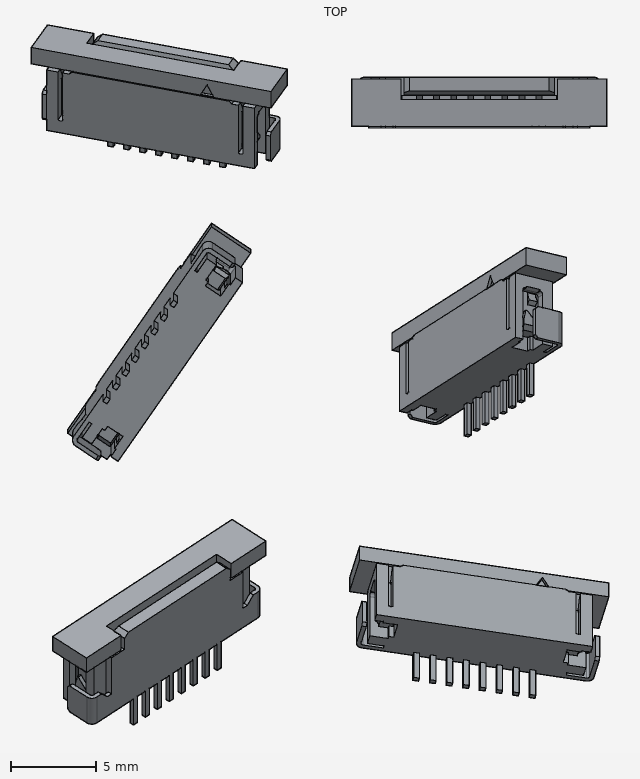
import cadquery as cq


BODY_HALF = 6.5
BODY_DEPTH = 3.0
SHOULDER_Z = 4.12
RIDGE_Z = 4.28
RIDGE_TOP_HALF = 4.92
RIDGE_BEVEL = RIDGE_Z - SHOULDER_Z
REAR_HALF = 5.5
TAB_RECESS_DEPTH = 0.45

SLIDER_HALF = 7.5
SLIDER_BACK = 0.1
SLIDER_FRONT = 2.9
TOP_Z = 5.4
NOTCH_HALF = 4.6
NOTCH_DEPTH = 1.31

TONGUE_HALF = 4.42
TONGUE_DEPTH = 1.04
TONGUE_SIDE_BEVEL = 0.33
TONGUE_FRONT_BEVEL = 0.23
TONGUE_SIDE_BEVEL_HEIGHT = 0.28
TONGUE_FRONT_BEVEL_HEIGHT = 0.65
CABLE_SLOT_HALF = 4.53
CABLE_SLOT_BACK = 1.08
CABLE_SLOT_FLOOR = 1.0

PIN_COUNT = 8
PIN_PITCH = 1.0
PIN_WIDTH = 0.35
PIN_THICKNESS = 0.28
PIN_LENGTH = 2.0
CONTACT_TIP_Z = 3.0
CONTACT_TIP_DROP = 0.28
PIN_ONE_X = PIN_PITCH * (PIN_COUNT - 1) / 2

MARK_HALF = 0.4
MARK_BASE_Z = 4.33
MARK_TIP_Z = 5.05
MARK_DEPTH = 0.2

WINDOW_BACK = 1.13
WINDOW_FRONT = 2.49
WINDOW_TOP = 3.34
WINDOW_RADIUS = 0.2
POCKET_FRONT = 2.39
POCKET_INNER_X = 5.1
POCKET_STEP_X = 5.4
POCKET_STEP_DEPTH = 1.31
RELIEF_HEIGHT = 0.09
RELIEF_LENGTH = 0.3

ARM_INNER_X = 5.16
ARM_OUTER_X = 5.98
ARM_FRONT = 2.24
ARM_TIP_Z = 0.85
ARM_TIP_CHAMFER_DEPTH = 0.12
ARM_TIP_CHAMFER_HEIGHT = 0.2
ARM_TIP_TAPER_Z = 1.14
ARM_TIP_TAPER_X = 0.25
ARM_ROOT_Z = 3.43
ARM_ROOT_FRONT = 2.72

CATCH_BACK = 1.31
CATCH_FRONT = 1.87
CATCH_BOTTOM_Z = 2.53
CATCH_CREST_Z = 2.77
CATCH_TOP_Z = 3.3
CATCH_HEIGHT = 0.2
PAD_BACK = 1.31
PAD_CREST_BACK = 2.03
PAD_CREST_FRONT = 2.12
PAD_TOP_Z = 2.03
PAD_SHOULDER_Z = 1.5
PAD_HEIGHT = 0.25

ARM_SLOT_INNER_X = 5.5
ARM_SLOT_WIDTH = 0.28
ARM_SLOT_BOTTOM = 0.82
ARM_SLOT_SAG = 0.06

TAB_OUTER_X = 7.14
TAB_THICKNESS = 0.27
TAB_INNER_RADIUS = 0.14
TAB_OUTER_RADIUS = TAB_THICKNESS + TAB_INNER_RADIUS
TAB_HEIGHT = 2.0
TAB_LEG_DEPTH = 2.03
TAB_LEG_CHAMFER = 0.18
TAB_RAMP_OUTER_X = 6.35
TAB_RAMP_INNER_X = 5.85
TAB_RAMP_DROP = 0.5


def block(x_range, depth_range, z_range):
    """Rectangular block between two x, two depth and two z values."""
    (x0, x1), (d0, d1), (z0, z1) = x_range, depth_range, z_range
    return cq.Workplane("XY").box(x1 - x0, d1 - d0, z1 - z0, centered=False).translate((x0, -d1, z0))


def side_prism(depth_z_points, x_start, x_end):
    """Prism along X whose section is given as (depth, z) points."""
    section = [(-depth, z) for depth, z in depth_z_points]
    return cq.Workplane("YZ").workplane(offset=x_start).polyline(section).close().extrude(x_end - x_start)


def front_prism(x_z_points, depth_start, depth_end):
    """Prism along the depth whose section is given as (x, z) points."""
    plane = cq.Workplane("XZ").workplane(offset=depth_start)
    return plane.polyline(x_z_points).close().extrude(depth_end - depth_start)


def both_sides(right_half):
    """The given +X shape together with its mirror image."""
    return right_half.union(right_half.mirror("YZ"))


def make_ridge():
    foot_half = RIDGE_TOP_HALF + RIDGE_BEVEL
    section = [
        (-foot_half, SHOULDER_Z),
        (foot_half, SHOULDER_Z),
        (RIDGE_TOP_HALF, RIDGE_Z),
        (-RIDGE_TOP_HALF, RIDGE_Z),
    ]
    return front_prism(section, 0, BODY_DEPTH)


def make_tongue():
    side_bevel_z = TOP_Z - TONGUE_SIDE_BEVEL_HEIGHT
    front_bevel_z = TOP_Z - TONGUE_FRONT_BEVEL_HEIGHT
    top_half = TONGUE_HALF - TONGUE_SIDE_BEVEL
    side_section = [
        (-TONGUE_HALF, SHOULDER_Z),
        (TONGUE_HALF, SHOULDER_Z),
        (TONGUE_HALF, side_bevel_z),
        (top_half, TOP_Z),
        (-top_half, TOP_Z),
        (-TONGUE_HALF, side_bevel_z),
    ]
    front_section = [
        (0, SHOULDER_Z),
        (TONGUE_DEPTH, SHOULDER_Z),
        (TONGUE_DEPTH, front_bevel_z),
        (TONGUE_DEPTH - TONGUE_FRONT_BEVEL, TOP_Z),
        (0, TOP_Z),
    ]
    tongue = front_prism(side_section, 0, TONGUE_DEPTH)
    return tongue.intersect(side_prism(front_section, -TONGUE_HALF, TONGUE_HALF))


def make_window():
    """Side opening with its inner pocket and the lead-in above it."""
    opening = block((ARM_OUTER_X, BODY_HALF), (WINDOW_BACK, WINDOW_FRONT), (-WINDOW_RADIUS, WINDOW_TOP))
    opening = opening.edges("|X and >Z").fillet(WINDOW_RADIUS)
    pocket = block((POCKET_STEP_X, ARM_OUTER_X), (WINDOW_BACK, POCKET_FRONT), (0, WINDOW_TOP))
    pocket = pocket.union(
        block((POCKET_INNER_X, POCKET_STEP_X), (POCKET_STEP_DEPTH, POCKET_FRONT), (0, WINDOW_TOP))
    )
    relief_section = [
        (BODY_HALF, WINDOW_TOP),
        (BODY_HALF, WINDOW_TOP + RELIEF_HEIGHT),
        (BODY_HALF - RELIEF_LENGTH, WINDOW_TOP),
    ]
    relief = front_prism(relief_section, CATCH_BACK, ARM_FRONT)
    return opening.union(pocket).union(relief)


def make_arm_slot():
    """Upright slot with a slightly rounded floor."""
    outer_x = ARM_SLOT_INNER_X + ARM_SLOT_WIDTH
    middle_x = ARM_SLOT_INNER_X + ARM_SLOT_WIDTH / 2
    floor_edge_z = ARM_SLOT_BOTTOM + ARM_SLOT_SAG
    outline = (
        cq.Workplane("XZ")
        .workplane(offset=ARM_FRONT)
        .moveTo(outer_x, floor_edge_z)
        .lineTo(outer_x, RIDGE_Z)
        .lineTo(ARM_SLOT_INNER_X, RIDGE_Z)
        .lineTo(ARM_SLOT_INNER_X, floor_edge_z)
        .threePointArc((middle_x, ARM_SLOT_BOTTOM), (outer_x, floor_edge_z))
        .close()
    )
    return outline.extrude(BODY_DEPTH - ARM_FRONT)


def make_housing():
    housing = block((-BODY_HALF, BODY_HALF), (0, BODY_DEPTH), (0, SHOULDER_Z))
    rear = block((-REAR_HALF, REAR_HALF), (0, WINDOW_BACK), (0, RIDGE_Z))
    housing = housing.union(make_ridge()).union(rear).union(make_tongue())
    tab_recess = block((REAR_HALF, BODY_HALF), (0, TAB_RECESS_DEPTH), (0, RIDGE_Z))
    for cutter in (tab_recess, make_window(), make_arm_slot()):
        housing = housing.cut(both_sides(cutter))
    cable_slot = block(
        (-CABLE_SLOT_HALF, CABLE_SLOT_HALF),
        (CABLE_SLOT_BACK, NOTCH_DEPTH),
        (CABLE_SLOT_FLOOR, RIDGE_Z),
    )
    return housing.cut(cable_slot)


def make_arm():
    arm_section = [
        (WINDOW_BACK, ARM_TIP_Z),
        (ARM_FRONT - ARM_TIP_CHAMFER_DEPTH, ARM_TIP_Z),
        (ARM_FRONT, ARM_TIP_Z + ARM_TIP_CHAMFER_HEIGHT),
        (ARM_FRONT, ARM_ROOT_Z),
        (ARM_ROOT_FRONT, RIDGE_Z),
        (WINDOW_BACK, RIDGE_Z),
    ]
    arm = side_prism(arm_section, ARM_INNER_X, ARM_OUTER_X)
    catch_section = [
        (ARM_OUTER_X, CATCH_BOTTOM_Z),
        (ARM_OUTER_X + CATCH_HEIGHT, CATCH_CREST_Z),
        (ARM_OUTER_X, CATCH_TOP_Z),
    ]
    catch = front_prism(catch_section, CATCH_BACK, CATCH_FRONT)
    pad_section = [
        (PAD_BACK, ARM_TIP_Z),
        (ARM_FRONT - ARM_TIP_CHAMFER_DEPTH, ARM_TIP_Z),
        (ARM_FRONT, ARM_TIP_Z + ARM_TIP_CHAMFER_HEIGHT),
        (ARM_FRONT, PAD_SHOULDER_Z),
        (PAD_CREST_FRONT, PAD_TOP_Z),
        (PAD_CREST_BACK, PAD_TOP_Z),
        (PAD_BACK, PAD_TOP_Z - (PAD_CREST_BACK - PAD_BACK)),
    ]
    pad_face_x = ARM_OUTER_X + PAD_HEIGHT
    pad = side_prism(pad_section, ARM_OUTER_X, pad_face_x)
    taper_section = [
        (pad_face_x, ARM_TIP_TAPER_Z),
        (pad_face_x, ARM_TIP_Z),
        (pad_face_x - ARM_TIP_TAPER_X, ARM_TIP_Z),
    ]
    taper = front_prism(taper_section, WINDOW_BACK, ARM_FRONT)
    return arm.union(catch).union(pad).cut(taper)


def make_slider():
    slider = block((-SLIDER_HALF, SLIDER_HALF), (SLIDER_BACK, SLIDER_FRONT), (RIDGE_Z, TOP_Z))
    slider = slider.cut(block((-NOTCH_HALF, NOTCH_HALF), (0, NOTCH_DEPTH), (RIDGE_Z, TOP_Z)))
    mark_section = [
        (PIN_ONE_X - MARK_HALF, MARK_BASE_Z),
        (PIN_ONE_X + MARK_HALF, MARK_BASE_Z),
        (PIN_ONE_X, MARK_TIP_Z),
    ]
    slider = slider.cut(front_prism(mark_section, SLIDER_FRONT - MARK_DEPTH, SLIDER_FRONT))
    return slider.union(both_sides(make_arm()))


def make_contact(x_center):
    """Solder tail and the contact blade with a sloped tip inside the cable slot."""
    x_start = x_center - PIN_WIDTH / 2
    x_end = x_start + PIN_WIDTH
    tail = block((x_start, x_end), (0, PIN_THICKNESS), (-PIN_LENGTH, 0))
    blade_section = [
        (CABLE_SLOT_BACK, CABLE_SLOT_FLOOR),
        (NOTCH_DEPTH, CABLE_SLOT_FLOOR),
        (NOTCH_DEPTH, CONTACT_TIP_Z - CONTACT_TIP_DROP),
        (CABLE_SLOT_BACK, CONTACT_TIP_Z),
    ]
    return tail, side_prism(blade_section, x_start, x_end)


def make_tab():
    """L-shaped solder tab with a rounded bend and a ramp at its anchored end."""
    plate = block((REAR_HALF, TAB_OUTER_X), (0, TAB_THICKNESS), (0, TAB_HEIGHT))
    leg_inner_x = TAB_OUTER_X - TAB_THICKNESS
    leg = block((leg_inner_x, TAB_OUTER_X), (0, TAB_LEG_DEPTH), (0, TAB_HEIGHT))
    leg = leg.edges("|X and <Y").chamfer(TAB_LEG_CHAMFER)
    tab = plate.union(leg)
    outer_corner = cq.selectors.NearestToPointSelector((TAB_OUTER_X, 0, TAB_HEIGHT / 2))
    tab = tab.edges(outer_corner).fillet(TAB_OUTER_RADIUS)
    inner_corner = cq.selectors.NearestToPointSelector((leg_inner_x, -TAB_THICKNESS, TAB_HEIGHT / 2))
    tab = tab.edges(inner_corner).fillet(TAB_INNER_RADIUS)
    ramp_section = [
        (TAB_RAMP_OUTER_X, TAB_HEIGHT),
        (TAB_RAMP_INNER_X, TAB_HEIGHT - TAB_RAMP_DROP),
        (REAR_HALF, TAB_HEIGHT - TAB_RAMP_DROP),
        (REAR_HALF, TAB_HEIGHT),
    ]
    return tab.cut(front_prism(ramp_section, 0, TAB_THICKNESS))


result = make_housing().union(make_slider()).union(both_sides(make_tab()))
for pin_index in range(PIN_COUNT):
    for contact_piece in make_contact(pin_index * PIN_PITCH - PIN_ONE_X):
        result = result.union(contact_piece)